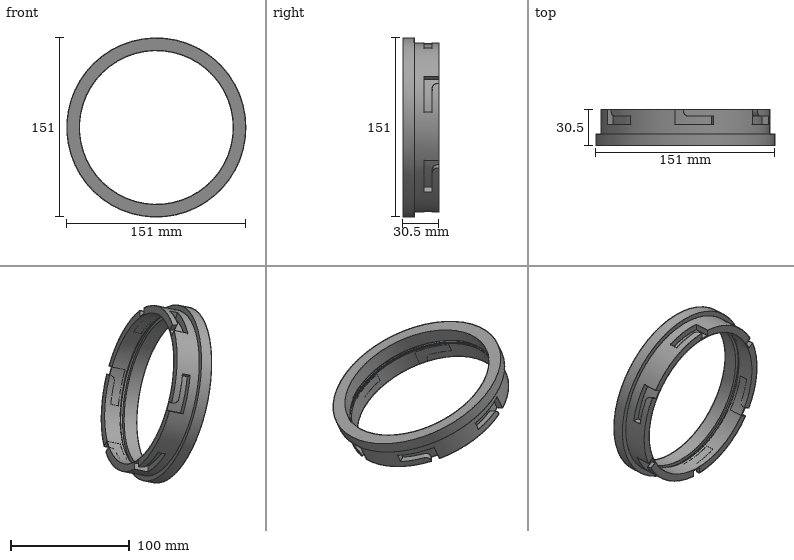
import cadquery as cq
import math

flange_radius = 75.5
flange_thickness = 9.7
total_length = 30.5
barrel_radius = 71.3
bore_radius = 64.8

slot_count = 6
slot_floor_radius = 65.7
slot_depth_from_rear = 12.8
lip_width = 5.7
lip_tip_radius = 4.5
mouth_start = -8.9
mouth_end = -1.7
channel_end_angle = 19.6

groove_start = 12.1
deep_groove_width = 2.7
deep_groove_depth = 3.0
step_width = 0.9
step_depth = 1.2

cut_margin = 1.5

slot_front = total_length - slot_depth_from_rear
channel_rear = total_length - lip_width


def tube(inner_radius, outer_radius, start, length):
    """Make a tube along +Y starting at the given Y."""
    return (
        cq.Workplane("XZ", origin=(0, start, 0))
        .circle(outer_radius)
        .circle(inner_radius)
        .extrude(-length)
    )


def make_mouth():
    """Make the parallel-sided slot entry, with the rounded lip tip on its right."""
    lip_flat_start = mouth_end + lip_tip_radius
    tip_arc_end = channel_rear + lip_tip_radius
    arc_offset = lip_tip_radius * math.sqrt(0.5)
    arc_middle = (lip_flat_start - arc_offset, tip_arc_end - arc_offset)
    rear = total_length + cut_margin
    prism = (
        cq.Workplane("XY")
        .moveTo(mouth_start, slot_front)
        .lineTo(lip_flat_start, slot_front)
        .lineTo(lip_flat_start, channel_rear)
        .threePointArc(arc_middle, (mouth_end, tip_arc_end))
        .lineTo(mouth_end, rear)
        .lineTo(mouth_start, rear)
        .close()
        .extrude(barrel_radius + cut_margin)
    )
    floor = (
        cq.Workplane("XZ")
        .circle(slot_floor_radius)
        .extrude(-(rear + cut_margin))
    )
    return prism.cut(floor)


def make_channel():
    """Make the channel from the centre line to its radial end wall."""
    radial_depth = barrel_radius + cut_margin - slot_floor_radius
    return (
        cq.Workplane("YZ")
        .moveTo(slot_front, slot_floor_radius)
        .rect(channel_rear - slot_front, radial_depth, centered=False)
        .revolve(channel_end_angle, (0, 0, 0), (1, 0, 0))
    )


def make_groove():
    """Make the ring that cuts the stepped groove."""
    inner_radius = bore_radius - cut_margin
    deep_part = tube(inner_radius, bore_radius + deep_groove_depth, groove_start, deep_groove_width)
    step = tube(inner_radius, bore_radius + step_depth, groove_start, deep_groove_width + step_width)
    return deep_part.union(step)


flange = tube(bore_radius, flange_radius, 0, flange_thickness)
barrel = tube(bore_radius, barrel_radius, 0, total_length)
groove = make_groove()
result = flange.union(barrel).cut(groove)

slot = make_mouth().union(make_channel())
for index in range(slot_count):
    angle = index * 360 / slot_count
    result = result.cut(slot.rotate((0, 0, 0), (0, 1, 0), angle))